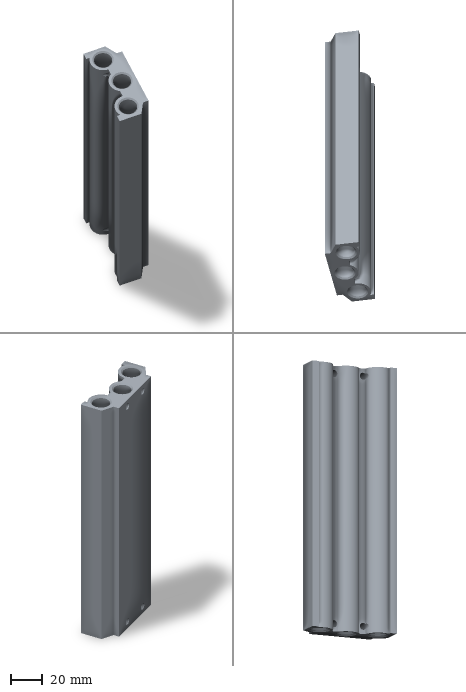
import cadquery as cq

length = 171.0
width = 58.0
depth = 23.0

back_width = 42.4
step_depth = 3.8
shoulder_depth = 8.2
web_depth = 13.5
leg_width = 4.5

tube_pitch = 20.0
tube_diameter = 17.1
bore_diameter = 11.5
bore_mouth_diameter = 13.3
side_tube_depth = 13.5
middle_tube_depth = 9.0

mount_hole_diameter = 4.5
mount_hole_end_distance = 5.0

back_y = depth / 2
tube_axes = [
    (-tube_pitch, back_y - side_tube_depth),
    (0, back_y - middle_tube_depth),
    (tube_pitch, back_y - side_tube_depth),
]


def make_body():
    """Extruded web with sloped shoulders and two front legs, mirrored about X = 0."""
    half_width = width / 2
    half_outline = [
        (0, back_y),
        (back_width / 2, back_y),
        (back_width / 2, back_y - step_depth),
        (half_width, back_y - shoulder_depth),
        (half_width, -depth / 2),
        (half_width - leg_width, -depth / 2),
        (half_width - leg_width, back_y - web_depth),
        (0, back_y - web_depth),
    ]
    return (
        cq.Workplane("XY", origin=(0, 0, -length / 2))
        .polyline(half_outline)
        .mirrorY()
        .extrude(length)
    )


def make_rods(diameter):
    """Full-length round rods on the three tube axes."""
    return (
        cq.Workplane("XY", origin=(0, 0, -length / 2))
        .pushPoints(tube_axes)
        .circle(diameter / 2)
        .extrude(length)
    )


def make_bores():
    """Through bores that flare at 45 degrees to the mouth diameter at both ends."""
    bore_radius = bore_diameter / 2
    mouth_radius = bore_mouth_diameter / 2
    flare = mouth_radius - bore_radius
    half_length = length / 2
    half_section = [
        (0, -half_length),
        (mouth_radius, -half_length),
        (bore_radius, flare - half_length),
        (bore_radius, half_length - flare),
        (mouth_radius, half_length),
        (0, half_length),
    ]
    bore = cq.Workplane("XZ").polyline(half_section).close().revolve(360, (0, 0), (0, 1))
    bores = cq.Workplane("XY")
    for x, y in tube_axes:
        bores = bores.add(bore.translate((x, y, 0)))
    return bores.combine()


def make_mount_holes():
    """Four holes along Y, midway between neighbouring tubes and near both ends."""
    return (
        cq.Workplane("XZ", origin=(0, back_y, 0))
        .rect(tube_pitch, length - 2 * mount_hole_end_distance, forConstruction=True)
        .vertices()
        .circle(mount_hole_diameter / 2)
        .extrude(depth)
    )


result = (
    make_body()
    .union(make_rods(tube_diameter))
    .cut(make_bores())
    .cut(make_mount_holes())
)